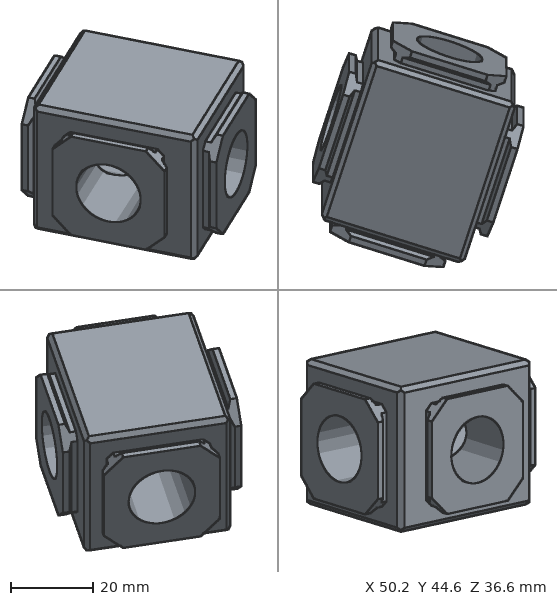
import cadquery as cq

block_x = 42.2
block_y = 36.6
block_z = 36.6
block_chamfer = 1.25

pad_height = 4.0
pad_width = 29.0
rim_thickness = 1.65
slope_height = 0.85
neck_inset = 1.55
corner_cut = 4.8

bore_diameter = 16.65

neck_height = pad_height - rim_thickness - slope_height
neck_width = pad_width - 2 * neck_inset


def make_pad(base_offset):
    """Pad facing +X: a square neck flaring to a rim, with its corners cut off."""
    neck = cq.Workplane("YZ", origin=(base_offset, 0, 0)).rect(neck_width, neck_width).extrude(neck_height)
    flare = (
        neck.faces(">X").workplane()
        .rect(neck_width, neck_width)
        .workplane(offset=slope_height)
        .rect(pad_width, pad_width)
        .loft(ruled=True, combine=False)
    )
    rim_start = base_offset + neck_height + slope_height
    rim = cq.Workplane("YZ", origin=(rim_start, 0, 0)).rect(pad_width, pad_width).extrude(rim_thickness)
    octagon = (
        cq.Workplane("YZ", origin=(base_offset, 0, 0))
        .rect(pad_width, pad_width)
        .extrude(pad_height)
        .edges("|X")
        .chamfer(corner_cut)
    )
    return neck.union(flare).union(rim).intersect(octagon)


def make_bore(plane, length):
    """Round bore through the centre of the part, normal to the given plane."""
    return cq.Workplane(plane).circle(bore_diameter / 2).extrude(length / 2, both=True)


def make_block():
    """Block with every edge bevelled, the three bevels at a corner meeting in a point."""
    box = cq.Workplane("XY").box(block_x, block_y, block_z)
    block = box
    for direction in ("|X", "|Y", "|Z"):
        block = block.intersect(box.edges(direction).chamfer(block_chamfer))
    return block


result = make_block()

for angle, block_depth in ((0, block_x), (90, block_y), (180, block_x), (270, block_y)):
    pad = make_pad(block_depth / 2).rotate((0, 0, 0), (0, 0, 1), angle)
    result = result.union(pad)

result = result.cut(make_bore("YZ", block_x + 2 * pad_height))
result = result.cut(make_bore("XZ", block_y + 2 * pad_height))